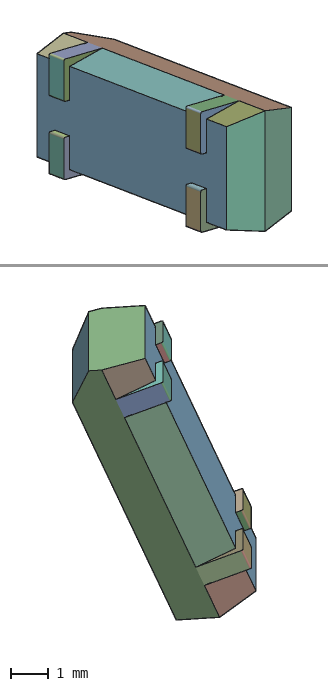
import cadquery as cq
import math

BODY_LENGTH = 8.2
BODY_HEIGHT = 3.4
HALF_DEPTH = 1.15
DRAFT_ANGLE = 12.0
BEVEL = 0.8

LEAD_WIDTH = 0.6
LEAD_HEIGHT = 1.2
LEAD_PITCH = 5.51
FIRST_LEAD_X = 1.04
OVERALL_DEPTH = 2.5
LEAD_EDGE_RADIUS = 0.05

lead_reach = OVERALL_DEPTH - HALF_DEPTH
draft_slope = math.tan(math.radians(DRAFT_ANGLE))
draft_inset = HALF_DEPTH * draft_slope
half_height = BODY_HEIGHT / 2


def make_body():
    """Intersect the plan outline with the end outline, both drafted at the same angle."""
    bevel_y = HALF_DEPTH - BEVEL
    front_left_x = (bevel_y + HALF_DEPTH) * draft_slope
    plan = (
        cq.Workplane("XY")
        .moveTo(front_left_x, -HALF_DEPTH)
        .lineTo(BODY_LENGTH - draft_inset, -HALF_DEPTH)
        .lineTo(BODY_LENGTH, 0)
        .lineTo(BODY_LENGTH - draft_inset, HALF_DEPTH)
        .lineTo(BEVEL, HALF_DEPTH)
        .lineTo(0, bevel_y)
        .close()
        .extrude(half_height, both=True)
    )
    face_z = half_height - draft_inset
    end_outline = [
        (-HALF_DEPTH, -face_z),
        (0, -half_height),
        (HALF_DEPTH, -face_z),
        (HALF_DEPTH, face_z),
        (0, half_height),
        (-HALF_DEPTH, face_z),
    ]
    ends = cq.Workplane("YZ").polyline(end_outline).close().extrude(BODY_LENGTH)
    return plan.intersect(ends)


def make_lead(left_x, bottom_z):
    """Block from the parting plane to the mounting face, with its two mounting edges rounded."""
    return (
        cq.Workplane("XY")
        .box(LEAD_WIDTH, lead_reach, LEAD_HEIGHT, centered=False)
        .faces("<Y")
        .edges("|X")
        .fillet(LEAD_EDGE_RADIUS)
        .translate((left_x, -lead_reach, bottom_z))
    )


result = make_body()
for left_x in (FIRST_LEAD_X, FIRST_LEAD_X + LEAD_PITCH):
    for bottom_z in (-half_height, half_height - LEAD_HEIGHT):
        result = result.union(make_lead(left_x, bottom_z))